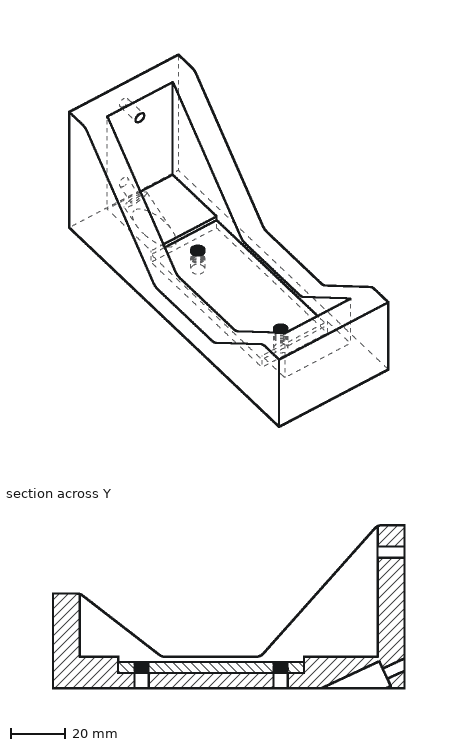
import cadquery as cq
import math

length = 129.2
width = 50.0
tall_height = 60.0
low_height = 34.9
flange_height = 11.6
wall_thickness = 10.0
flange_start = 53.0
flange_end = 89.2
corner_radius = 3.7

pocket_width = 30.0

plate_length = 68.1
plate_thickness = 4.0
plate_depth = 2.0
plate_center_x = 71.1
plate_top = flange_height - plate_depth
plate_bottom = plate_top - plate_thickness

screw_spacing = 51.0
thread_core_diameter = 4.3
thread_root_diameter = 5.0
thread_pitch = 0.8
thread_count = 4
clearance_diameter = 5.2
screw_positions = [(plate_center_x + side * screw_spacing / 2, 0) for side in (-1, 1)]

wall_hole_diameter = 4.0
upper_hole_height = 50.0
lower_hole_height = 8.8
lower_hole_tilt = math.radians(25)
counterbore_diameter = 10.0
counterbore_start = 8.0

cut_reach = length / 2


def bracket_block():
    """Solid block with a tall end, a low end and slopes down to the flanges, rounded at the bends."""
    low_wall_face = length - wall_thickness
    bends = [
        (low_wall_face, low_height),
        (flange_end, flange_height),
        (flange_start, flange_height),
        (wall_thickness, tall_height),
    ]
    outline = [(0, 0), (length, 0), (length, low_height), *bends, (0, tall_height)]
    block = cq.Workplane("XZ").polyline(outline).close().extrude(width / 2, both=True)
    for x, z in bends:
        block = block.edges(cq.selectors.NearestToPointSelector((x, 0, z))).fillet(corner_radius)
    return block


def pocket():
    """Space between the end walls, open at the top."""
    return (
        cq.Workplane("XY", origin=(length / 2, 0, flange_height))
        .rect(length - 2 * wall_thickness, pocket_width)
        .extrude(tall_height)
    )


def plate_block(height):
    """Box with the plate's outline, standing on the recess floor."""
    return (
        cq.Workplane("XY", origin=(plate_center_x, 0, plate_bottom))
        .rect(plate_length, pocket_width)
        .extrude(height)
    )


def clearance_holes():
    """Plain holes from the underside up to the plate."""
    return cq.Workplane("XY").pushPoints(screw_positions).circle(clearance_diameter / 2).extrude(plate_bottom)


def upper_wall_hole():
    """Level hole through the tall end wall into the pocket."""
    return (
        cq.Workplane("YZ", origin=(0, 0, upper_hole_height))
        .circle(wall_hole_diameter / 2)
        .extrude(2 * wall_thickness)
    )


def lower_wall_hole():
    """Hole that slopes down from the end face, counterbored from the underside."""
    axis = (math.cos(lower_hole_tilt), 0, -math.sin(lower_hole_tilt))
    mouth = cq.Workplane(cq.Plane(origin=(0, 0, lower_hole_height), xDir=(0, 1, 0), normal=axis))
    bore = mouth.circle(wall_hole_diameter / 2).extrude(cut_reach, both=True)
    counterbore = (
        mouth.workplane(offset=counterbore_start)
        .circle(counterbore_diameter / 2)
        .extrude(cut_reach)
    )
    return bore.union(counterbore)


def make_bracket():
    plate_recess = plate_block(tall_height)
    return (
        bracket_block()
        .cut(pocket())
        .cut(plate_recess)
        .cut(clearance_holes())
        .cut(upper_wall_hole())
        .cut(lower_wall_hole())
    )


def threaded_hole(x, y):
    """Cutter for a hole with a chamfered mouth and V-shaped rings that stand for the thread."""
    core = thread_core_diameter / 2
    root = thread_root_diameter / 2
    chamfer = root - core
    profile = [(0, plate_top), (root, plate_top)]
    for turn in range(thread_count):
        crest_height = plate_top - chamfer - turn * thread_pitch
        profile += [(core, crest_height), (root, crest_height - thread_pitch / 2)]
    profile += [
        (core, plate_top - chamfer - thread_count * thread_pitch),
        (core, plate_bottom),
        (0, plate_bottom),
    ]
    return cq.Workplane("XZ", origin=(x, y, 0)).polyline(profile).close().revolve(360, (0, 0), (0, 1))


def make_plate():
    plate = plate_block(plate_thickness)
    for x, y in screw_positions:
        plate = plate.cut(threaded_hole(x, y))
    return plate


bracket = make_bracket()
plate = make_plate()
result = cq.Compound.makeCompound([bracket.val(), plate.val()])